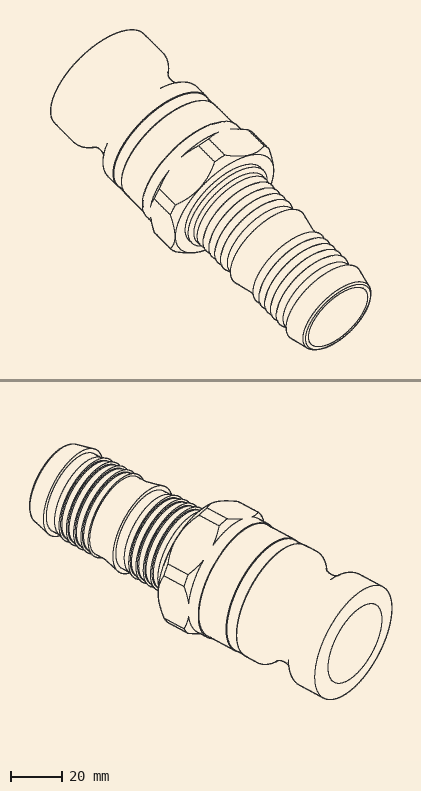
import cadquery as cq
import math

TOTAL_LENGTH = 148.5

ADAPTER_DIA = 49.5
ADAPTER_LENGTH = 58.15
MOUTH_FACE_DIA = 42.7
MOUTH_CHAMFER_LENGTH = 0.8

CAM_LIP_X = 12.7
CAM_START_X = 14.9
CAM_CENTER_X = 23.4
CAM_END_X = 32.3
CAM_SHOULDER_X = 33.55
CAM_BOTTOM_DIA = 39.0
CAM_RADIUS = 11.2
LIP_ROUND_RADIUS = 3.0
SHOULDER_ROUND_RADIUS = 1.7

BAND_START = 39.45
BAND_END = 44.75
BAND_DEPTH = 0.2
BAND_SLOPE_LENGTH = 0.3

MOUTH_BORE_DIA = 34.5
MOUTH_TAPER_LENGTH = 11.5
NECK_BORE_DIA = 33.0

NUT_START = ADAPTER_LENGTH
NUT_END = 78.3
NUT_SIDES = 6
NUT_ACROSS_FLATS = 50.0
NUT_CORNER_DIA = 55.0
NUT_COLLAR_DIA = 50.5
NUT_FRONT_CONE_END = 65.3
NUT_REAR_CONE_START = 75.3
NUT_REAR_DIA = 49.8

TAIL_START = ADAPTER_LENGTH
COLLAR_DIA = 40.0
COLLAR_END = 80.15
COLLAR_FILLET_RADIUS = 5.0
TAIL_BORE_DIA = 30.0
ENTRY_CONE_LENGTH = 1.5
END_CHAMFER = 0.75

TAIL_DIA = 34.5
RIB_DIA = 36.5
RIB_PITCH = 3.6
RIB_LENGTH = 3.0
RIBS_PER_GROUP = 5
RIB_LAND_START = 81.5
FIRST_RIBS_START = 83.6
SECOND_RIBS_START = 118.1
BARB_DIA = 38.2
FIRST_BARB_START = 105.15
FIRST_BARB_END = 113.6
END_BARB_START = 139.6


def revolve_about_x(profile):
    """Close a profile drawn as (x, radius) points and turn it around the X axis."""
    return profile.close().revolve(360, (0, 0, 0), (1, 0, 0))


def cam_groove_radius(x):
    """Radius of the arc-shaped cam groove floor at x."""
    arc_height = math.sqrt(CAM_RADIUS**2 - (x - CAM_CENTER_X) ** 2)
    return CAM_BOTTOM_DIA / 2 + CAM_RADIUS - arc_height


def build_adapter():
    outer = ADAPTER_DIA / 2
    band = outer - BAND_DEPTH
    cam_start = (CAM_START_X, cam_groove_radius(CAM_START_X))
    cam_bottom = (CAM_CENTER_X, CAM_BOTTOM_DIA / 2)
    cam_end = (CAM_END_X, cam_groove_radius(CAM_END_X))
    profile = (
        cq.Workplane("XY")
        .moveTo(0, MOUTH_BORE_DIA / 2)
        .lineTo(0, MOUTH_FACE_DIA / 2)
        .lineTo(MOUTH_CHAMFER_LENGTH, outer)
        .lineTo(CAM_LIP_X, outer)
        .radiusArc(cam_start, LIP_ROUND_RADIUS)
        .threePointArc(cam_bottom, cam_end)
        .radiusArc((CAM_SHOULDER_X, outer), SHOULDER_ROUND_RADIUS)
        .lineTo(BAND_START, outer)
        .lineTo(BAND_START + BAND_SLOPE_LENGTH, band)
        .lineTo(BAND_END - BAND_SLOPE_LENGTH, band)
        .lineTo(BAND_END, outer)
        .lineTo(ADAPTER_LENGTH, outer)
        .lineTo(ADAPTER_LENGTH, NECK_BORE_DIA / 2)
        .lineTo(MOUTH_TAPER_LENGTH, NECK_BORE_DIA / 2)
    )
    return revolve_about_x(profile)


def build_nut():
    bore = COLLAR_DIA / 2
    collar = NUT_COLLAR_DIA / 2
    corner = NUT_CORNER_DIA / 2
    front_cone_start = NUT_FRONT_CONE_END - (corner - collar)
    turned_blank = revolve_about_x(
        cq.Workplane("XY")
        .moveTo(NUT_START, bore)
        .lineTo(NUT_START, collar)
        .lineTo(front_cone_start, collar)
        .lineTo(NUT_FRONT_CONE_END, corner)
        .lineTo(NUT_REAR_CONE_START, corner)
        .lineTo(NUT_END, NUT_REAR_DIA / 2)
        .lineTo(NUT_END, bore)
    )
    hexagon = (
        cq.Workplane("YZ", origin=(NUT_START, 0, 0))
        .polygon(NUT_SIDES, NUT_ACROSS_FLATS, circumscribed=True)
        .extrude(NUT_END - NUT_START)
    )
    return turned_blank.intersect(hexagon)


def add_tooth(profile, start, end, peak_dia):
    """Step up from the tail surface to the peak, then taper back down to the surface."""
    surface = TAIL_DIA / 2
    return profile.lineTo(start, surface).lineTo(start, peak_dia / 2).lineTo(end, surface)


def add_ribs(profile, group_start, first, count):
    """Add ribs of a group, beginning with the one numbered `first`."""
    for i in range(first, count):
        start = group_start + i * RIB_PITCH
        profile = add_tooth(profile, start, start + RIB_LENGTH, RIB_DIA)
    return profile


def build_tail():
    bore = TAIL_BORE_DIA / 2
    profile = (
        cq.Workplane("XY")
        .moveTo(TAIL_START, NECK_BORE_DIA / 2)
        .lineTo(TAIL_START, COLLAR_DIA / 2)
        .lineTo(COLLAR_END, COLLAR_DIA / 2)
        .radiusArc((RIB_LAND_START, RIB_DIA / 2), -COLLAR_FILLET_RADIUS)
        .lineTo(FIRST_RIBS_START, RIB_DIA / 2)
        .lineTo(FIRST_RIBS_START + RIB_LENGTH, TAIL_DIA / 2)
    )
    profile = add_ribs(profile, FIRST_RIBS_START, 1, RIBS_PER_GROUP)
    profile = add_tooth(profile, FIRST_BARB_START, FIRST_BARB_END, BARB_DIA)
    profile = add_ribs(profile, SECOND_RIBS_START, 0, RIBS_PER_GROUP)
    profile = add_tooth(profile, END_BARB_START, TOTAL_LENGTH - END_CHAMFER, BARB_DIA)
    profile = (
        profile.lineTo(TOTAL_LENGTH, TAIL_DIA / 2 - END_CHAMFER)
        .lineTo(TOTAL_LENGTH, bore)
        .lineTo(TAIL_START + ENTRY_CONE_LENGTH, bore)
    )
    return revolve_about_x(profile)


adapter = build_adapter()
nut = build_nut()
tail = build_tail()
result = cq.Compound.makeCompound([adapter.val(), nut.solids().val(), tail.val()])